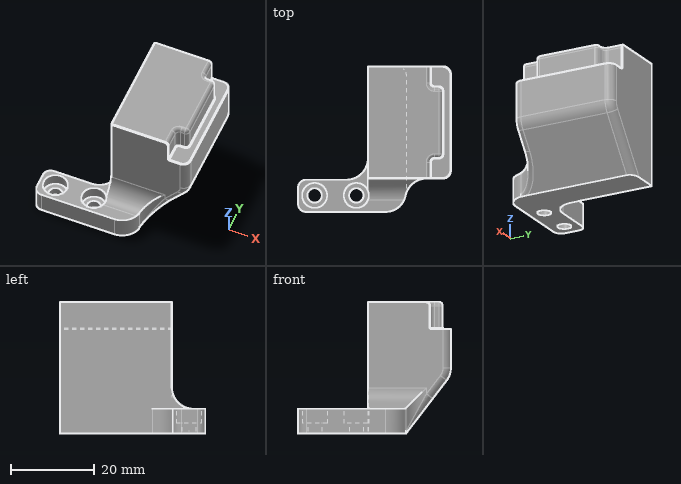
import cadquery as cq
import math

BLOCK_X = 20.0
BLOCK_Y = 27.0
BLOCK_Z = 31.66
UNDERCUT_START_X = 9.2
UNDERCUT_TOP_Z = 14.1
UNDERCUT_BEND_R = 5.0
CORNER_R = 2.0
EDGE_CHAMFER = 0.2

LEDGE_Z = 25.2
WALL_X = 15.0
TAB_X = 18.0
TAB_LENGTH = 17.0
TAB_R = 1.0

ARM_FRONT_Y = -8.0
ARM_BACK_Y = -0.2
ARM_Z = 6.0
OVERALL_X = 36.72
ARM_LEFT_X = BLOCK_X - OVERALL_X
ARM_END_R = 2.0
BLEND_R = 5.0
WEB_Z = ARM_Z + BLEND_R

ARM_CORNER = (4.24, ARM_FRONT_Y + BLEND_R)
WEB_RISE = -BLEND_R - ARM_CORNER[1]
WEB_CENTER = (ARM_CORNER[0] + math.sqrt((2 * BLEND_R) ** 2 - WEB_RISE ** 2), -BLEND_R)
TOUCH = ((ARM_CORNER[0] + WEB_CENTER[0]) / 2, (ARM_CORNER[1] + WEB_CENTER[1]) / 2)
TOUCH_ANGLE = math.asin(WEB_RISE / (2 * BLEND_R))

SCREW_D = 3.4
HEAD_D = 6.0
HEAD_DEPTH = 3.4
SCREW_COUNT = 2
SCREW_PITCH = 10.0
SCREW_INSET = 4.0

RUNOUT = 2.0
PICK = 0.01


def box_between(low, high):
    """Box spanning two opposite corners."""
    size = [b - a for a, b in zip(low, high)]
    return cq.Workplane("XY").box(*size, centered=False).translate(low)


def edges_inside(low, high):
    """Selector for the edges whose centre lies in the given box, widened by PICK."""
    return cq.selectors.BoxSelector(
        [value - PICK for value in low],
        [value + PICK for value in high],
    )


def arc_point(center, radius, angle):
    """Point at the given angle on a circle."""
    return (center[0] + radius * math.cos(angle), center[1] + radius * math.sin(angle))


def arm():
    """Arm with a rounded right end and a concave blend into the left face of the block."""
    end_angle = (TOUCH_ANGLE - math.pi / 2) / 2
    left_center = (-BLEND_R, ARM_BACK_Y + BLEND_R)
    plate = (
        cq.Workplane("XY")
        .moveTo(ARM_LEFT_X, ARM_FRONT_Y)
        .lineTo(ARM_CORNER[0], ARM_FRONT_Y)
        .threePointArc(arc_point(ARM_CORNER, BLEND_R, end_angle), TOUCH)
        .lineTo(0, TOUCH[1])
        .lineTo(0, left_center[1])
        .threePointArc(arc_point(left_center, BLEND_R, -math.pi / 4), (-BLEND_R, ARM_BACK_Y))
        .lineTo(ARM_LEFT_X, ARM_BACK_Y)
        .close()
        .extrude(ARM_Z)
    )
    end_edges = edges_inside((ARM_LEFT_X, ARM_FRONT_Y, 0), (ARM_LEFT_X, ARM_BACK_Y, ARM_Z))
    return plate.edges("|Z").edges(end_edges).fillet(ARM_END_R)


def web():
    """Upright web from the front face of the block out to the arm, with a concave right end."""
    return (
        cq.Workplane("XY", origin=(0, 0, -RUNOUT))
        .lineTo(0, -BLEND_R)
        .lineTo(WEB_CENTER[0] - BLEND_R, -BLEND_R)
        .threePointArc(arc_point(WEB_CENTER, BLEND_R, 3 * math.pi / 4), (WEB_CENTER[0], 0))
        .lineTo(WEB_CENTER[0], BLEND_R)
        .lineTo(0, BLEND_R)
        .close()
        .extrude(RUNOUT + WEB_Z)
    )


def undercut_envelope():
    """Prism around block and web: a rectangle with its lower right corner sloped off."""
    run_per_rise = (BLOCK_X - UNDERCUT_START_X) / UNDERCUT_TOP_Z
    prism = (
        cq.Workplane("XZ", origin=(0, BLOCK_Y, 0))
        .moveTo(0, -RUNOUT)
        .lineTo(UNDERCUT_START_X - RUNOUT * run_per_rise, -RUNOUT)
        .lineTo(BLOCK_X, UNDERCUT_TOP_Z)
        .lineTo(BLOCK_X, BLOCK_Z)
        .lineTo(0, BLOCK_Z)
        .close()
        .extrude(BLOCK_Y + BLEND_R)
    )
    bend = cq.selectors.NearestToPointSelector((BLOCK_X, BLOCK_Y / 2, UNDERCUT_TOP_Z))
    return prism.edges(bend).fillet(UNDERCUT_BEND_R)


def block_with_web():
    """Undercut block and web with rounded right edges, the web scooped down to the arm."""
    block = box_between((0, 0, -RUNOUT), (BLOCK_X, BLOCK_Y, BLOCK_Z))
    left_edges = edges_inside((0, 0, -RUNOUT), (0, BLOCK_Y, BLOCK_Z))
    block = block.edges("|Z").edges(left_edges).chamfer(EDGE_CHAMFER)
    body = block.union(web()).intersect(undercut_envelope())
    for y in (0, BLOCK_Y):
        upright = edges_inside((BLOCK_X, y, UNDERCUT_TOP_Z), (BLOCK_X, y, BLOCK_Z))
        body = body.edges(upright).fillet(CORNER_R)
    scoop = (
        cq.Workplane("YZ")
        .center(-BLEND_R, WEB_Z)
        .circle(BLEND_R)
        .extrude(BLOCK_X)
    )
    arm_end_x = ARM_CORNER[0] + math.sqrt(BLEND_R ** 2 - WEB_RISE ** 2)
    kept = (
        cq.Workplane("XY")
        .polyline([
            (0, -BLEND_R),
            (arm_end_x, -BLEND_R),
            TOUCH,
            (BLOCK_X, TOUCH[1]),
            (BLOCK_X, BLOCK_Y),
            (0, BLOCK_Y),
        ])
        .close()
        .extrude(BLOCK_Z)
    )
    return body.cut(scoop).intersect(kept)


def cut_ledge(body):
    """Cut the ledge around the tab, then round the tab's corners and its top edge."""
    tab_front = (BLOCK_Y - TAB_LENGTH) / 2
    tab_back = tab_front + TAB_LENGTH
    cutter = box_between((WALL_X, 0, LEDGE_Z), (BLOCK_X, BLOCK_Y, BLOCK_Z))
    tab = box_between((WALL_X, tab_front, LEDGE_Z), (TAB_X, tab_back, BLOCK_Z))
    body = body.cut(cutter.cut(tab))
    corners = edges_inside((WALL_X, tab_front, LEDGE_Z), (TAB_X, tab_back, BLOCK_Z))
    body = body.edges("|Z").edges(corners).fillet(TAB_R)
    top_edge = edges_inside((WALL_X, 0, BLOCK_Z), (TAB_X, BLOCK_Y, BLOCK_Z))
    return body.edges(top_edge).fillet(TAB_R)


def chamfer_upper_edges(body):
    """Break the outer edges around the top face and the ledge, and flare the foot of the wall."""
    left_of_tab = edges_inside((0, 0, BLOCK_Z), (WALL_X / 2, BLOCK_Y, BLOCK_Z))
    on_ledge = edges_inside((WALL_X, 0, LEDGE_Z), (BLOCK_X, BLOCK_Y, LEDGE_Z))
    return body.edges(left_of_tab).add(body.edges(on_ledge)).chamfer(EDGE_CHAMFER)


def drill_arm(body):
    """Counterbored screw holes; the heads also clear the foot of the web above the arm."""
    hole_y = ARM_FRONT_Y + SCREW_INSET
    for index in range(SCREW_COUNT):
        hole_x = ARM_LEFT_X + SCREW_INSET + index * SCREW_PITCH
        shank = cq.Workplane("XY").center(hole_x, hole_y).circle(SCREW_D / 2).extrude(ARM_Z)
        head = (
            cq.Workplane("XY", origin=(hole_x, hole_y, ARM_Z - HEAD_DEPTH))
            .circle(HEAD_D / 2)
            .extrude(HEAD_DEPTH + BLEND_R)
        )
        body = body.cut(shank).cut(head)
    return body


body = block_with_web()
body = chamfer_upper_edges(cut_ledge(body))
result = drill_arm(body.union(arm()))